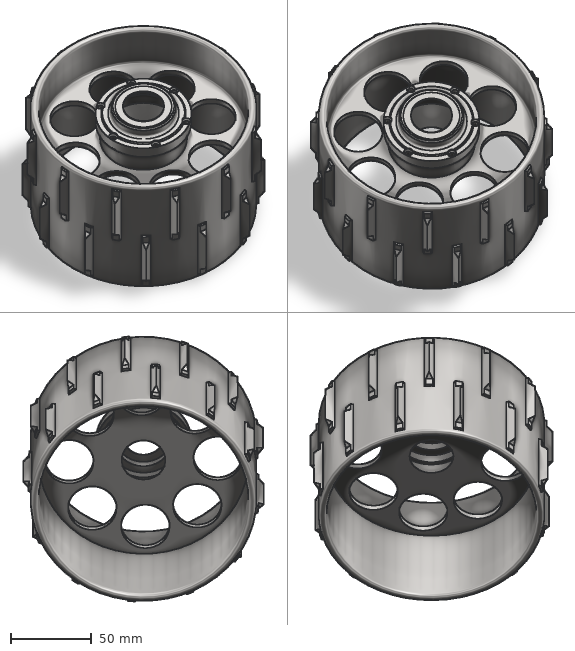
import cadquery as cq

width = 90.0
drum_radius = 70.0
rim_thickness = 5.0
drum_inner_radius = drum_radius - rim_thickness
half_width = width / 2

web_top = 16.0
web_thickness = 4.0
web_bottom = web_top - web_thickness
web_fillet = 2.0
web_hole_count = 8
web_hole_radius = 15.0
web_hole_circle = 46.0

neck_radius = 27.0
flange_radius = 29.7
flange_bottom = 30.5
flange_top = 38.3
cover_radius = 25.5
cover_chamfer = 0.8
cover_top = flange_top + cover_chamfer
boss_radius = 20.0
boss_edge = 1.0
boss_top = half_width
bore_radius = 12.75

lip_thickness = 0.5
boss_cavity_radius = 17.5
bearing_seat_radius = 22.0
bearing_seat_top = 38.5
bearing_seat_bottom = 32.0
neck_cavity_radius = 24.0
neck_cavity_bottom = 22.5

screw_count = 6
screw_circle = 27.3
screw_radius = 1.5
screw_head_radius = 2.6
screw_reach_below_flange = 3.0
screw_bottom = flange_bottom - screw_reach_below_flange

cleats_per_row = 12
cleat_stagger = 360.0 / cleats_per_row / 2
cleat_length = 44.0
cleat_row_overlap = 5.0
cleat_centre = (cleat_length - cleat_row_overlap) / 2
cleat_base = 6.0
cleat_height = 5.0
cleat_end_length = 5.0
cleat_end_height = 1.5
cleat_slope_length = 3.0
cleat_tip_radius = drum_radius + cleat_height
cleat_root_radius = drum_radius - rim_thickness / 2


def cylinder(radius, bottom, top):
    return cq.Workplane("XY").workplane(offset=bottom).circle(radius).extrude(top - bottom)


def revolve(profile):
    """Turn a radius-height outline about the Z axis."""
    return profile.revolve(360, (0, 0, 0), (0, 1, 0))


def make_drum():
    """Open ring whose two rims are rounded to full half circles."""
    rounding = rim_thickness / 2
    rim_centre = drum_radius - rounding
    straight = half_width - rounding
    profile = (
        cq.Workplane("XZ")
        .moveTo(drum_inner_radius, -straight)
        .threePointArc((rim_centre, -half_width), (drum_radius, -straight))
        .lineTo(drum_radius, straight)
        .threePointArc((rim_centre, half_width), (drum_inner_radius, straight))
        .close()
    )
    return revolve(profile)


def make_web():
    """Flat disc with a concave fillet where its upper face meets the drum."""
    overlap_radius = drum_inner_radius + rim_thickness / 2
    profile = (
        cq.Workplane("XZ")
        .moveTo(0, web_bottom)
        .lineTo(overlap_radius, web_bottom)
        .lineTo(overlap_radius, web_top + web_fillet)
        .lineTo(drum_inner_radius, web_top + web_fillet)
        .radiusArc((drum_inner_radius - web_fillet, web_top), web_fillet)
        .lineTo(0, web_top)
        .close()
    )
    web = revolve(profile)
    holes = (
        cq.Workplane("XY")
        .workplane(offset=web_bottom)
        .polarArray(web_hole_circle, 180.0 / web_hole_count, 360, web_hole_count)
        .circle(web_hole_radius)
        .extrude(web_thickness)
    )
    return web.cut(holes)


def make_hub():
    hub = cylinder(neck_radius, web_bottom, flange_bottom)
    hub = hub.union(cylinder(flange_radius, flange_bottom, flange_top))
    return hub.union(make_cover()).union(make_boss())


def make_cover():
    """Low disc whose edge is a 45 degree slope down to the flange."""
    profile = (
        cq.Workplane("XZ")
        .moveTo(0, flange_top)
        .lineTo(cover_radius + cover_chamfer, flange_top)
        .lineTo(cover_radius, cover_top)
        .lineTo(0, cover_top)
        .close()
    )
    return revolve(profile)


def make_boss():
    """Raised boss with a chamfered top edge and a concave fillet at its foot."""
    profile = (
        cq.Workplane("XZ")
        .moveTo(0, cover_top)
        .lineTo(boss_radius + boss_edge, cover_top)
        .radiusArc((boss_radius, cover_top + boss_edge), boss_edge)
        .lineTo(boss_radius, boss_top - boss_edge)
        .lineTo(boss_radius - boss_edge, boss_top)
        .lineTo(0, boss_top)
        .close()
    )
    return revolve(profile)


def make_hub_cavity():
    """Bore, boss recess, bearing seat and neck cavity, ending in a cone through the web."""
    cone_end_radius = neck_cavity_radius - (neck_cavity_bottom - web_bottom)
    profile = (
        cq.Workplane("XZ")
        .moveTo(0, web_bottom)
        .lineTo(cone_end_radius, web_bottom)
        .lineTo(neck_cavity_radius, neck_cavity_bottom)
        .lineTo(neck_cavity_radius, bearing_seat_bottom)
        .lineTo(bearing_seat_radius, bearing_seat_bottom)
        .lineTo(bearing_seat_radius, bearing_seat_top)
        .lineTo(boss_cavity_radius, bearing_seat_top)
        .lineTo(boss_cavity_radius, boss_top - lip_thickness)
        .lineTo(bore_radius, boss_top - lip_thickness)
        .lineTo(bore_radius, boss_top)
        .lineTo(0, boss_top)
        .close()
    )
    return revolve(profile)


def make_screw_hole():
    """Countersunk hole standing on the flange top at the +Y screw position."""
    countersink_depth = screw_head_radius - screw_radius
    profile = (
        cq.Workplane("XZ")
        .moveTo(0, screw_bottom)
        .lineTo(screw_radius, screw_bottom)
        .lineTo(screw_radius, flange_top - countersink_depth)
        .lineTo(screw_head_radius, flange_top)
        .lineTo(screw_head_radius, cover_top)
        .lineTo(0, cover_top)
        .close()
    )
    return revolve(profile).translate((0, screw_circle, 0))


def make_cleat(centre_height):
    """Triangular cleat on the +X side, trimmed at both ends by a turned envelope."""
    bottom = centre_height - cleat_length / 2
    half_base = cleat_base / 2
    cleat = (
        cq.Workplane("XY")
        .workplane(offset=bottom)
        .moveTo(cleat_root_radius, -half_base)
        .lineTo(drum_radius, -half_base)
        .lineTo(cleat_tip_radius, 0)
        .lineTo(drum_radius, half_base)
        .lineTo(cleat_root_radius, half_base)
        .close()
        .extrude(cleat_length)
    )
    half_length = cleat_length / 2
    shoulder = half_length - cleat_end_length
    crest = shoulder - cleat_slope_length
    end_radius = drum_radius + cleat_end_height
    envelope = (
        cq.Workplane("XZ")
        .moveTo(0, -half_length)
        .lineTo(end_radius, -half_length)
        .lineTo(end_radius, -shoulder)
        .lineTo(cleat_tip_radius, -crest)
        .lineTo(cleat_tip_radius, crest)
        .lineTo(end_radius, shoulder)
        .lineTo(end_radius, half_length)
        .lineTo(0, half_length)
        .close()
    )
    return cleat.intersect(revolve(envelope).translate((0, 0, centre_height)))


def around_axis(shape, count, first_angle=0.0):
    """Evenly spaced copies of a shape about the Z axis."""
    pitch = 360.0 / count
    return [shape.rotate((0, 0, 0), (0, 0, 1), first_angle + index * pitch) for index in range(count)]


result = make_drum().union(make_web()).union(make_hub()).cut(make_hub_cavity())

for screw_hole in around_axis(make_screw_hole(), screw_count):
    result = result.cut(screw_hole)

upper_row = around_axis(make_cleat(cleat_centre), cleats_per_row)
lower_row = around_axis(make_cleat(-cleat_centre), cleats_per_row, cleat_stagger)
for cleat in upper_row + lower_row:
    result = result.union(cleat)